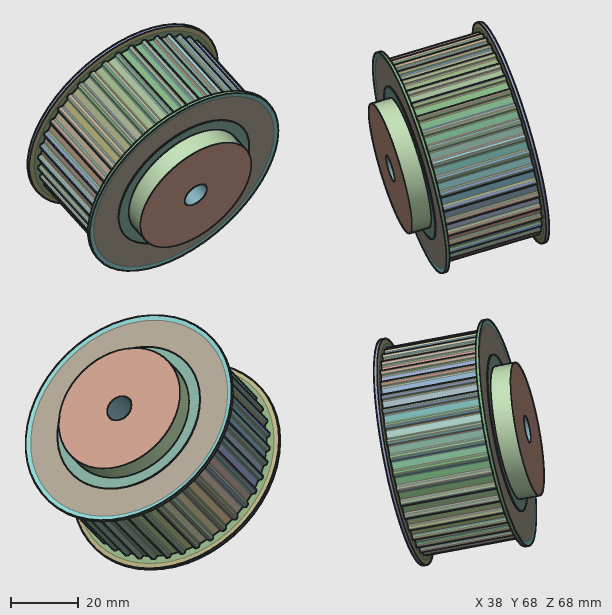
import cadquery as cq
import math


face_to_face = 32.0
hub_length = 6.0
total_length = face_to_face + hub_length

flange_radius = 34.0
rim_width = 1.5
rim_bend = 0.3
sheet_thickness = 1.0

core_diameter = 47.05
hub_diameter = 40.0
bore_diameter = 8.0

tooth_count = 40
tip_radius = 31.2
groove_depth = 1.1
groove_floor_width = 2.65
flank_angle = math.radians(25)
tip_round = 0.7
root_round = 0.4
root_radius = tip_radius - groove_depth
pitch_angle = 2 * math.pi / tooth_count


def polar(radius, angle):
    """Point on the YZ plane at a radius and an angle from +Y."""
    return (radius * math.cos(angle), radius * math.sin(angle))


def flank_points():
    """Ends of the root round, flank and tip round, as (radius, angle from the groove centreline)."""
    corner_angle = math.asin(groove_floor_width / 2 / root_radius)
    flank_distance = root_radius * math.sin(corner_angle - flank_angle)

    def on_flank(centre_radius, centre_angle):
        """Foot of the perpendicular from the centre of a round to the flank."""
        along = centre_radius * math.cos(centre_angle - flank_angle)
        angle = flank_angle + math.atan2(flank_distance, along)
        return (math.hypot(along, flank_distance), angle)

    root_centre_radius = root_radius + root_round
    root_angle = flank_angle + math.asin((flank_distance - root_round) / root_centre_radius)
    tip_centre_radius = tip_radius - tip_round
    tip_angle = flank_angle + math.asin((flank_distance + tip_round) / tip_centre_radius)
    return (
        (root_radius, root_angle),
        on_flank(root_centre_radius, root_angle),
        on_flank(tip_centre_radius, tip_angle),
        (tip_radius, tip_angle),
    )


def toothed_rim():
    """Toothed disc between the flanges, with grooves centred on the Y and Z axes."""
    half_groove = flank_points()
    floor_start = polar(root_radius, -half_groove[0][1])
    outline = cq.Workplane("YZ", origin=(rim_bend, 0, 0)).moveTo(*floor_start)
    for index in range(tooth_count):
        groove = index * pitch_angle
        next_groove = groove + pitch_angle
        rising = [polar(radius, groove + angle) for radius, angle in half_groove]
        falling = [polar(radius, next_groove - angle) for radius, angle in reversed(half_groove)]
        outline = (
            outline.threePointArc(polar(root_radius, groove), rising[0])
            .tangentArcPoint(rising[1], relative=False)
            .lineTo(*rising[2])
            .tangentArcPoint(rising[3], relative=False)
            .threePointArc(polar(tip_radius, groove + pitch_angle / 2), falling[0])
            .tangentArcPoint(falling[1], relative=False)
            .lineTo(*falling[2])
            .tangentArcPoint(falling[3], relative=False)
        )
    return outline.close().extrude(face_to_face - 2 * rim_bend)


def flange():
    """Sheet disc whose rim leans towards -X, reaching X = 0 at its edge."""
    flat_radius = flange_radius - rim_width
    return (
        cq.Workplane("XY")
        .moveTo(rim_bend, 0)
        .lineTo(rim_bend, flat_radius)
        .lineTo(0, flange_radius)
        .lineTo(sheet_thickness, flange_radius)
        .lineTo(rim_bend + sheet_thickness, flat_radius)
        .lineTo(rim_bend + sheet_thickness, 0)
        .close()
        .revolve(360, (0, 0, 0), (1, 0, 0))
    )


def cylinder(diameter, length):
    return cq.Workplane("YZ").circle(diameter / 2).extrude(length)


near_flange = flange()
far_flange = near_flange.mirror("YZ").translate((face_to_face, 0, 0))

result = (
    toothed_rim()
    .union(near_flange)
    .union(far_flange)
    .union(cylinder(core_diameter, face_to_face))
    .union(cylinder(hub_diameter, total_length))
    .cut(cylinder(bore_diameter, total_length))
)